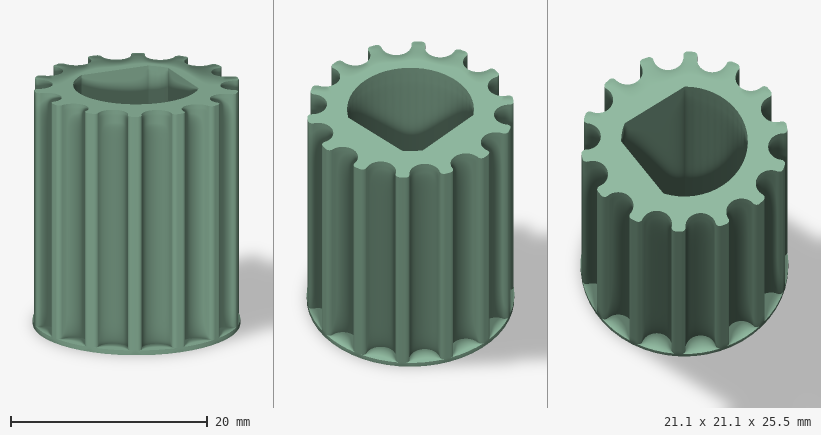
import cadquery as cq
import math

length = 25.5
outer_radius = 21.15 / 2
flange_thickness = 0.5

groove_count = 14
groove_radius = 1.55
groove_depth = 2.05
tip_radius = 0.43

bore_radius = 12.9 / 2
bore_flat_distance = 5.25

groove_center_radius = outer_radius - groove_depth + groove_radius


def polar(radius, angle):
    return radius * math.cos(angle), radius * math.sin(angle)


def toothed_outline():
    """Closed outline of groove arcs, tip roundings and tooth lands."""
    pitch_angle = 2 * math.pi / groove_count
    first_groove_angle = math.pi / 2

    tip_center_radius = outer_radius - tip_radius
    center_spacing = groove_radius + tip_radius
    tip_angle = math.acos(
        (groove_center_radius**2 + tip_center_radius**2 - center_spacing**2)
        / (2 * groove_center_radius * tip_center_radius)
    )
    tip_x, tip_y = polar(tip_center_radius, tip_angle)

    toward_groove = math.atan2(-tip_y, groove_center_radius - tip_x)
    contact_x = tip_x + tip_radius * math.cos(toward_groove)
    contact_y = tip_y + tip_radius * math.sin(toward_groove)
    middle_angle = (toward_groove + tip_angle) / 2
    middle_x = tip_x + tip_radius * math.cos(middle_angle)
    middle_y = tip_y + tip_radius * math.sin(middle_angle)
    contact_radius = math.hypot(contact_x, contact_y)
    contact_angle = math.atan2(contact_y, contact_x)
    middle_radius = math.hypot(middle_x, middle_y)
    middle_offset = math.atan2(middle_y, middle_x)

    outline = cq.Workplane("XY").moveTo(*polar(outer_radius, first_groove_angle - tip_angle))
    for index in range(groove_count):
        groove_angle = first_groove_angle + index * pitch_angle
        next_land_end = groove_angle + pitch_angle - tip_angle
        outline = (
            outline
            .threePointArc(
                polar(middle_radius, groove_angle - middle_offset),
                polar(contact_radius, groove_angle - contact_angle),
            )
            .threePointArc(
                polar(outer_radius - groove_depth, groove_angle),
                polar(contact_radius, groove_angle + contact_angle),
            )
            .threePointArc(
                polar(middle_radius, groove_angle + middle_offset),
                polar(outer_radius, groove_angle + tip_angle),
            )
            .threePointArc(
                polar(outer_radius, groove_angle + pitch_angle / 2),
                polar(outer_radius, next_land_end),
            )
        )
    return outline.close()


def double_flat_bore():
    """Through bore, limited by the two flats."""
    bore = cq.Workplane("XY").circle(bore_radius).extrude(length)
    limit_size = bore_radius + bore_flat_distance
    limit_offset = (bore_radius - bore_flat_distance) / 2
    limit = (
        cq.Workplane("XY")
        .center(limit_offset, -limit_offset)
        .rect(limit_size, limit_size)
        .extrude(length)
    )
    return bore.intersect(limit)


flange = cq.Workplane("XY").circle(outer_radius).extrude(flange_thickness)
teeth = toothed_outline().extrude(length - flange_thickness).translate((0, 0, flange_thickness))

result = teeth.union(flange).cut(double_flat_bore())